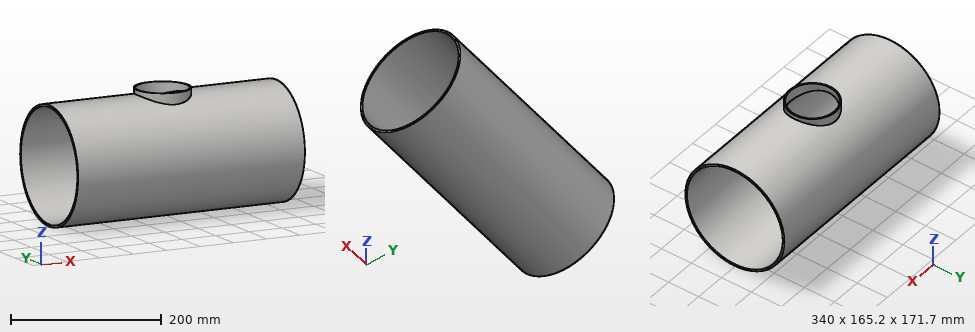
import cadquery as cq

pipe_length = 340.0
pipe_outer_diameter = 165.2
pipe_inner_diameter = 159.0

branch_outer_diameter = 76.0
branch_inner_diameter = 72.5
total_height = 171.7
branch_top = total_height - pipe_outer_diameter / 2


def pipe_cylinder(diameter):
    """Solid cylinder over the full length of the main pipe."""
    return cq.Workplane("YZ").circle(diameter / 2).extrude(pipe_length / 2, both=True)


def branch_cylinder(diameter):
    """Solid cylinder from the pipe axis up to the rim of the branch."""
    return cq.Workplane("XY").circle(diameter / 2).extrude(branch_top)


outside = pipe_cylinder(pipe_outer_diameter).union(branch_cylinder(branch_outer_diameter))
result = (
    outside
    .cut(pipe_cylinder(pipe_inner_diameter))
    .cut(branch_cylinder(branch_inner_diameter))
)